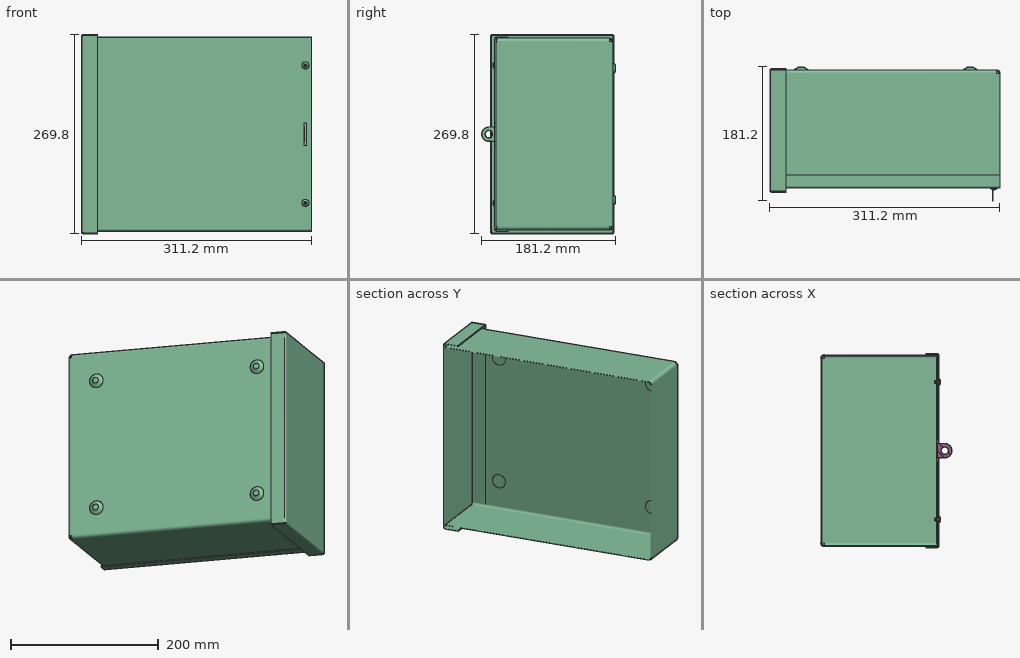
import cadquery as cq
import math

sheet = 1.5
length = 311.2

cap_length = 21.8
cap_depth = 167.5
cap_height = 269.8
cap_bend = 2.5
cap_notch = 1.2

cover_height = 262.5
cover_flange = 17.7
cover_bend = 2.5

box_depth = 158.5
box_bend = 4.7
lip_width = 18.7

boss_base = 19.3
boss_top = 8.0
boss_height = 3.5
boss_xs = (42.0, 270.7)
boss_z = 89.0

screw_x = 302.8
screw_z = 93.0
head_diameter = 9.5
head_height = 2.5
shank_diameter = 3.7
shank_length = 6.2
recess_length = 3.7
recess_width = 1.2
recess_depth = 1.2

slot_width = 3.7
slot_length = 30.8
slot_x = 302.5
hasp_thickness = 1.2
hasp_hole = 9.5
hasp_width = 19.5
hasp_reach = 17.7

box_back = 0.0
box_front = box_back - box_depth
cover_front = box_front - sheet
cover_back = cover_front + cover_flange
cap_back = box_back + sheet
box_height = cover_height - 2 * sheet
formed_start = cap_bend
lip_back = box_front + sheet
rim_front = box_front + cover_bend - sheet


def block(x0, x1, y0, y1, z0, z1):
    """Axis-aligned box between two corners."""
    return cq.Workplane("XY").box(x1 - x0, y1 - y0, z1 - z0, centered=False).translate((x0, y0, z0))


def cylinder_y(diameter, x, y, z, height):
    """Cylinder along +Y that starts at (x, y, z)."""
    return cq.Workplane(cq.Solid.makeCylinder(diameter / 2, height, cq.Vector(x, y, z), cq.Vector(0, 1, 0)))


def make_cap():
    """Shallow tray over the -X end, with open seams between its four flanges."""
    half = cap_height / 2
    front = cap_back - cap_depth
    outer = block(0, cap_length, front, cap_back, -half, half).faces("<X").edges().fillet(cap_bend)
    inner = block(sheet, cap_length, front + sheet, cap_back - sheet, -half + sheet, half - sheet)
    inner = inner.faces("<X").edges().fillet(cap_bend - sheet)
    cap = outer.cut(inner)
    for y in (front, cap_back - cap_notch):
        for z in (-half, half - cap_notch):
            cap = cap.cut(block(0, cap_length, y, y + cap_notch, z, z + cap_notch))
    return cap


def make_boss(x, z):
    """Tapered boss raised from the back face."""
    return cq.Workplane(
        cq.Solid.makeCone(
            boss_base / 2, boss_top / 2, boss_height, cq.Vector(x, box_back, z), cq.Vector(0, 1, 0)
        )
    )


def make_box():
    """Tray open to the front and to the cap, with a lip behind the cover."""
    half = box_height / 2
    bent_edges = "(>X and >Y) or (>X and >Z) or (>X and <Z) or (>Y and >Z) or (>Y and <Z)"
    outer = block(formed_start, length, rim_front, box_back, -half, half)
    outer = outer.edges(bent_edges).fillet(box_bend)
    inner = block(formed_start, length - sheet, rim_front, box_back - sheet, -half + sheet, half - sheet)
    inner = inner.edges(bent_edges).fillet(box_bend - sheet)
    box = outer.cut(inner)
    lip = block(length - lip_width, length, box_front, lip_back, -half + box_bend, half - box_bend)
    box = box.union(lip)
    for x in boss_xs:
        for z in (-boss_z, boss_z):
            box = box.union(make_boss(x, z))
    for z in (-half, half - box_bend):
        box = box.cut(block(length - box_bend, length, box_back - box_bend, box_back, z, z + box_bend))
    for z in (-screw_z, screw_z):
        box = box.cut(cylinder_y(shank_diameter, screw_x, box_front, z, sheet))
    return box


def make_cover():
    """Front channel with rounded bends, a slot for the hasp and two screw holes."""
    half = cover_height / 2
    outer = block(formed_start, length, cover_front, cover_back, -half, half)
    outer = outer.faces("<Y").edges("|X").fillet(cover_bend)
    inner = block(formed_start, length, box_front, cover_back, -half + sheet, half - sheet)
    inner = inner.faces("<Y").edges("|X").fillet(cover_bend - sheet)
    cover = outer.cut(inner)
    slot = block(-slot_width / 2, slot_width / 2, cover_front, box_front, -slot_length / 2, slot_length / 2)
    cover = cover.cut(slot.translate((slot_x, 0, 0)))
    for z in (-screw_z, screw_z):
        cover = cover.cut(cylinder_y(shank_diameter, screw_x, cover_front, z, sheet))
    return cover


def make_hasp():
    """Padlock eye that stands on the box lip and passes through the cover slot."""
    radius = hasp_width / 2
    centre_y = cover_front - hasp_reach + radius
    profile = (
        cq.Workplane("YZ")
        .moveTo(box_front, -radius)
        .lineTo(centre_y, -radius)
        .threePointArc((centre_y - radius, 0), (centre_y, radius))
        .lineTo(box_front, radius)
        .close()
    )
    plate = profile.extrude(hasp_thickness)
    eye = cq.Workplane("YZ").center(centre_y, 0).circle(hasp_hole / 2).extrude(hasp_thickness)
    return plate.cut(eye).translate((slot_x - slot_width / 2, 0, 0))


def make_screw(z):
    """Dome-head screw with a cross recess."""
    base_radius = head_diameter / 2
    dome_radius = (base_radius**2 + head_height**2) / (2 * head_height)
    half_angle = math.asin(base_radius / dome_radius) / 2
    middle_radius = dome_radius * math.sin(half_angle)
    middle_drop = head_height - dome_radius * (1 - math.cos(half_angle))
    head_profile = (
        cq.Workplane("XY")
        .lineTo(base_radius, 0)
        .threePointArc((middle_radius, -middle_drop), (0, -head_height))
        .close()
    )
    head = head_profile.revolve(360, (0, 0, 0), (0, 1, 0)).translate((screw_x, cover_front, z))
    shank = cylinder_y(shank_diameter, screw_x, cover_front, z, shank_length)
    recess = cq.Workplane("XY").box(recess_length, 2 * recess_depth, recess_width)
    recess = recess.union(cq.Workplane("XY").box(recess_width, 2 * recess_depth, recess_length))
    return head.union(shank).cut(recess.translate((screw_x, cover_front - head_height, z)))


cap = make_cap()
box = make_box()
cover = make_cover()
hasp = make_hasp()
screws = [make_screw(z) for z in (-screw_z, screw_z)]

result = cq.Compound.makeCompound(
    [cap.val(), box.val(), cover.val(), hasp.val(), *[screw.val() for screw in screws]]
)